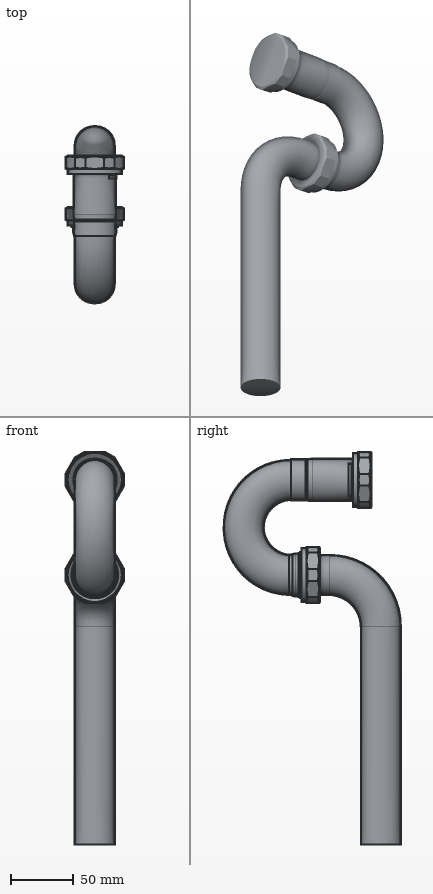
import cadquery as cq
import math

total_height = 314.5
tube_radius = 16.0
trap_bend_radius = 38.0
elbow_radius = 41.2
trap_bend_y = -71.7

nut_sides = 6
nut_across_flats = 45.0
nut_across_corners = 46.5
nut_hex_length = 10.7
nut_length = 14.8
collar_radius = 21.7
upper_nut_y = -7.5
lower_nut_y = -48.7
nut_corner_radius = 24.0
front_chamfer_radius = 21.5
front_chamfer_length = 1.5
rear_chamfer_radius = 22.3
rear_chamfer_length = 1.0

sleeve_radius = 17.0
sleeve_taper_y = -54.7
sleeve_end_y = -58.5
sleeve_end_radius = 16.7
groove_radius = tube_radius + 0.15
groove_end_y = -60.5
socket_radius = tube_radius + 0.47

pad_height = 0.47
pad_length = 2.2
pad_gap = 1.3
pad_reach_x = 11.3

ferrule_flange_radius = 18.5
ferrule_flange_y = -64.5
ferrule_lip_radius = 17.5
ferrule_lip_y = -66.0
ferrule_radius = 17.3
ferrule_taper_y = -68.2
ferrule_end_radius = 16.7
ferrule_end_y = -70.8
ferrule_tip_radius = tube_radius + 0.15
ferrule_tip_y = -73.3

half_side_angle = math.pi / nut_sides
upper_axis_z = total_height - nut_across_flats / 2
lower_axis_z = upper_axis_z - 2 * trap_bend_radius
down_pipe_top_z = lower_axis_z - elbow_radius


def turned(axis_z, profile):
    """Revolve (Y, radius) points about the line parallel to Y at height axis_z."""
    first_y = profile[0][0]
    last_y = profile[-1][0]
    outline = [(first_y, 0)] + profile + [(last_y, 0)]
    plane = cq.Workplane("YZ", origin=(0, 0, axis_z))
    return plane.polyline(outline).close().revolve(360, (0, 0), (1, 0))


def bent_tube():
    """Down pipe, elbow, trap bend and upper leg swept along one centreline."""
    trap_mid = (trap_bend_y - trap_bend_radius, lower_axis_z + trap_bend_radius)
    path = (
        cq.Workplane("YZ")
        .lineTo(0, down_pipe_top_z)
        .tangentArcPoint((-elbow_radius, lower_axis_z), relative=False)
        .lineTo(trap_bend_y, lower_axis_z)
        .threePointArc(trap_mid, (trap_bend_y, upper_axis_z))
        .lineTo(upper_nut_y, upper_axis_z)
    )
    return cq.Workplane("XY").circle(tube_radius).sweep(path)


def hexagon(across_flats, start_y, axis_z, turn):
    """Hexagonal prism with two flats facing +Z and -Z before it is turned about its axis."""
    across_points = across_flats / math.cos(half_side_angle)
    blank = (
        cq.Workplane("XZ", origin=(0, start_y, axis_z))
        .polygon(nut_sides, across_points)
        .extrude(nut_hex_length)
    )
    return blank.rotate((0, 0, axis_z), (0, 1, axis_z), turn)


def union_nut(start_y, axis_z):
    """Nut whose front face lies at start_y and whose collar points towards -Y."""
    hex_end_y = start_y - nut_hex_length
    flats = hexagon(nut_across_flats, start_y, axis_z, 0)
    corner_flats = hexagon(nut_across_corners, start_y, axis_z, math.degrees(half_side_angle))
    chamfer_cone = turned(axis_z, [
        (start_y, front_chamfer_radius),
        (start_y - front_chamfer_length, nut_corner_radius),
        (hex_end_y + rear_chamfer_length, nut_corner_radius),
        (hex_end_y, rear_chamfer_radius),
    ])
    collar = turned(axis_z, [(hex_end_y, collar_radius), (start_y - nut_length, collar_radius)])
    return flats.intersect(corner_flats).intersect(chamfer_cone).union(collar)


def upper_sleeve():
    """Sleeve with a tapered end, a narrow groove and the socket on the trap bend."""
    return turned(upper_axis_z, [
        (upper_nut_y, sleeve_radius),
        (sleeve_taper_y, sleeve_radius),
        (sleeve_end_y, sleeve_end_radius),
        (sleeve_end_y, groove_radius),
        (groove_end_y, groove_radius),
        (groove_end_y, socket_radius),
        (trap_bend_y, socket_radius),
    ])


def sleeve_pad():
    """Thin raised band over part of the sleeve, just beyond the nut collar."""
    start_y = upper_nut_y - nut_length - pad_gap
    end_y = start_y - pad_length
    pad_radius = sleeve_radius + pad_height
    ring = turned(upper_axis_z, [(start_y, pad_radius), (end_y, pad_radius)])
    plus_x_side = (
        cq.Workplane("XY", origin=(pad_reach_x, end_y, upper_axis_z))
        .box(pad_radius, pad_length, 2 * pad_radius, centered=(False, False, True))
    )
    return ring.intersect(plus_x_side)


def lower_ferrule():
    """Stepped ferrule between the lower nut and the trap bend."""
    return turned(lower_axis_z, [
        (lower_nut_y - nut_hex_length, ferrule_flange_radius),
        (ferrule_flange_y, ferrule_flange_radius),
        (ferrule_flange_y, ferrule_lip_radius),
        (ferrule_lip_y, ferrule_lip_radius),
        (ferrule_lip_y, ferrule_radius),
        (ferrule_taper_y, ferrule_radius),
        (ferrule_end_y, ferrule_end_radius),
        (ferrule_end_y, ferrule_tip_radius),
        (ferrule_tip_y, ferrule_tip_radius),
    ])


result = (
    bent_tube()
    .union(union_nut(upper_nut_y, upper_axis_z))
    .union(union_nut(lower_nut_y, lower_axis_z))
    .union(upper_sleeve())
    .union(sleeve_pad())
    .union(lower_ferrule())
)